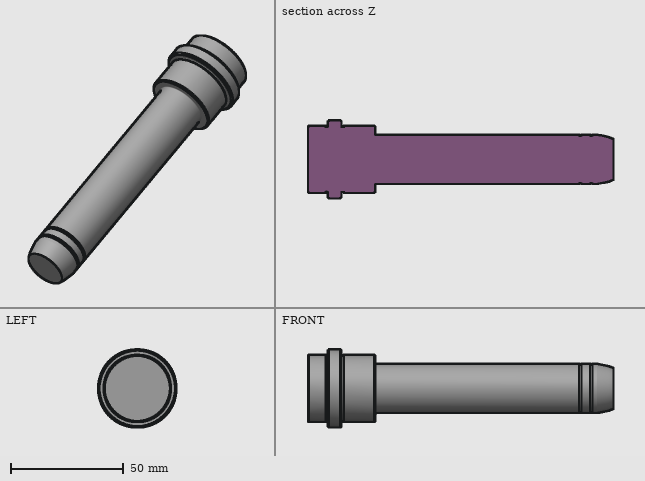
import cadquery as cq

total_length = 136.0
head_radius = 30.0 / 2
collar_radius = 35.0 / 2
shank_radius = 22.0 / 2
tip_radius = 9.1

collar_start = 8.8
collar_length = 6.3
collar_end = collar_start + collar_length
head_end = 30.0
taper_length = 7.3
taper_start = total_length - taper_length

head_chamfer = 0.5
collar_chamfer = 0.7
shank_root_fillet = 0.4

relief_width = 1.0
relief_depth = 0.5

ring_groove_width = 1.0
ring_groove_depth = 0.4
ring_groove_pitch = 4.9
ring_groove_count = 2
first_ring_groove_start = 120.6

taper_bulge = 0.34

cutter_clearance = 0.1


def cylinder(start, end, radius):
    """Round bar along X between two axial positions."""
    return cq.Workplane("YZ", origin=(start, 0, 0)).circle(radius).extrude(end - start)


def turned(profile):
    """Revolve a closed XY profile about the X axis."""
    return profile.revolve(360, (0, 0, 0), (1, 0, 0))


def round_groove(start, width, radius, depth):
    """Ring-shaped cutter with an arc-bottomed section, sunk into a cylinder of the given radius."""
    end = start + width
    middle = start + width / 2
    profile = (
        cq.Workplane("XY")
        .moveTo(start, radius + cutter_clearance)
        .lineTo(start, radius)
        .threePointArc((middle, radius - depth), (end, radius))
        .lineTo(end, radius + cutter_clearance)
        .close()
    )
    return turned(profile)


def make_head():
    """Chamfered head with a relief on each side of the collar position."""
    head = cylinder(0, head_end, head_radius).faces("<X or >X").chamfer(head_chamfer)
    for relief_start in (collar_start - relief_width, collar_end):
        head = head.cut(round_groove(relief_start, relief_width, head_radius, relief_depth))
    return head


def make_collar():
    """Locating collar, chamfered on both rims."""
    collar = cylinder(collar_start, collar_end, collar_radius)
    return collar.faces("<X or >X").chamfer(collar_chamfer)


def make_shank():
    """Straight shank with ring grooves near its tip."""
    shank = cylinder(head_end, taper_start, shank_radius)
    for index in range(ring_groove_count):
        groove_start = first_ring_groove_start + index * ring_groove_pitch
        shank = shank.cut(round_groove(groove_start, ring_groove_width, shank_radius, ring_groove_depth))
    return shank


def make_shank_root():
    """Concave fillet where the shank meets the end face of the head."""
    fillet_end = head_end + shank_root_fillet
    profile = (
        cq.Workplane("XY")
        .moveTo(head_end, 0)
        .lineTo(head_end, shank_radius + shank_root_fillet)
        .radiusArc((fillet_end, shank_radius), -shank_root_fillet)
        .lineTo(fillet_end, 0)
        .close()
    )
    return turned(profile)


def make_tip():
    """Lead-in that curves from the full shank radius down to the smaller end face."""
    middle = taper_start + taper_length / 2
    middle_radius = (shank_radius + tip_radius) / 2 + taper_bulge
    profile = (
        cq.Workplane("XY")
        .moveTo(taper_start, 0)
        .lineTo(taper_start, shank_radius)
        .threePointArc((middle, middle_radius), (total_length, tip_radius))
        .lineTo(total_length, 0)
        .close()
    )
    return turned(profile)


result = make_head().union(make_collar()).union(make_shank()).union(make_shank_root()).union(make_tip())